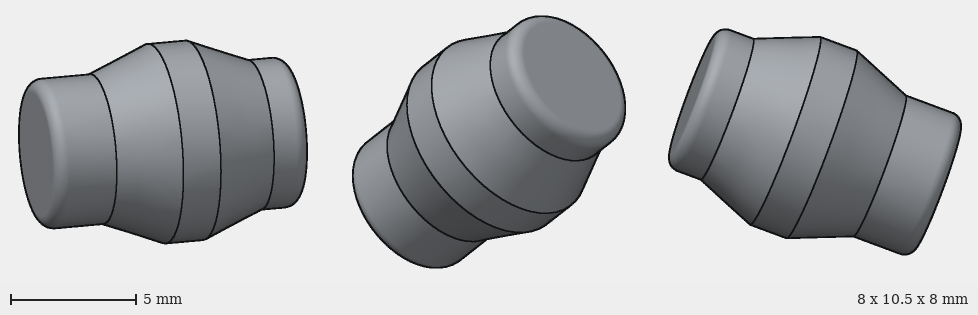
import cadquery as cq

total_length = 10.5
body_diameter = 8.0
neck_diameter = 6.01
front_neck_length = 2.5
rear_neck_length = 1.49
cone_length = 2.48
end_fillet = 0.5

body_radius = body_diameter / 2
neck_radius = neck_diameter / 2

front_end = -total_length / 2
rear_end = total_length / 2
front_cone_start = front_end + front_neck_length
body_start = front_cone_start + cone_length
rear_cone_end = rear_end - rear_neck_length
body_end = rear_cone_end - cone_length

profile = (
    cq.Workplane("XY")
    .moveTo(0, front_end)
    .lineTo(neck_radius, front_end)
    .lineTo(neck_radius, front_cone_start)
    .lineTo(body_radius, body_start)
    .lineTo(body_radius, body_end)
    .lineTo(neck_radius, rear_cone_end)
    .lineTo(neck_radius, rear_end)
    .lineTo(0, rear_end)
    .close()
)
plug = profile.revolve(360, (0, 0, 0), (0, 1, 0))

result = plug.faces("<Y or >Y").edges().fillet(end_fillet)